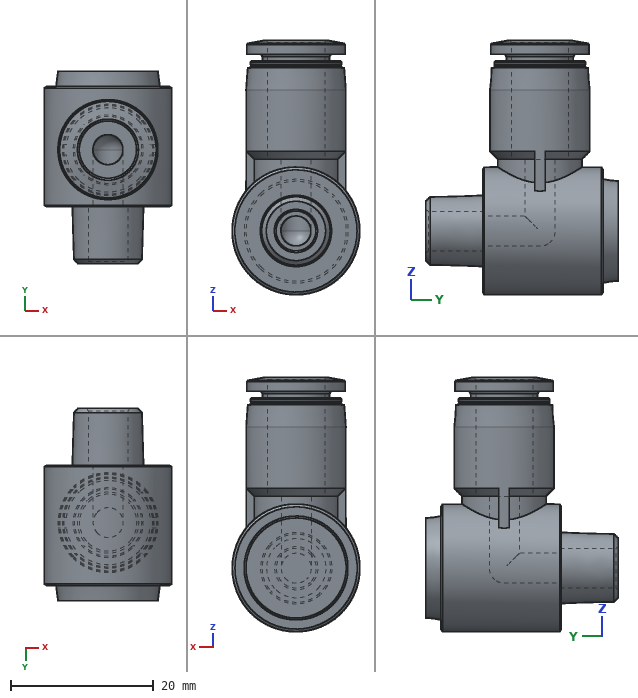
import cadquery as cq


body_radius = 17.9 / 2
body_front_y = -8.0
body_back_y = 8.85
body_edge_radial = 0.4
body_edge_axial = 0.25

stud_root_radius = 5.0
stud_taper_end_radius = 4.78
stud_end_radius = 4.15
stud_end_y = -16.0
stud_chamfer_length = 0.65

boss_root_radius = 7.28
boss_end_radius = 7.0
boss_end_y = 11.0

socket_radius = 14.0 / 2
socket_chamfer = 1.1
socket_neck_radius = socket_radius - socket_chamfer
socket_neck_top_z = 10.05
socket_taper_start_z = 19.75
socket_top_z = 22.8
socket_top_radius = 6.77

ring_radius = 12.8 / 2
ring_top_z = 23.8
ring_edge = 0.2
ring_groove_bottom_z = 23.0
ring_groove_top_z = 23.3
ring_groove_depth = 0.1

button_radius = 13.8 / 2
button_neck_radius = 9.4 / 2
button_bottom_z = 24.7
button_flare_radial = 0.2
button_flare_height = 0.35
button_rim_z = 26.05
button_crown_z = 26.25
button_crown_radius = 6.75
button_top_z = 35.65 - body_radius

rib_thickness = 1.5

passage_radius = 4.2 / 2
tube_bore_radius = 8.0 / 2
tube_bore_mouth_chamfer = 0.28
tube_bore_floor_z = socket_neck_top_z
stud_bore_radius = 5.56 / 2
stud_bore_mouth_radial = 0.25
stud_bore_mouth_depth = 0.4
stud_bore_floor_y = body_front_y


def revolve_about_z(profile):
    """Revolve (radius, z) points, starting and ending on the axis, about Z."""
    return cq.Workplane("XZ").polyline(profile).close().revolve(360, (0, 0), (0, 1))


def revolve_about_y(profile):
    """Revolve (radius, y) points, starting and ending on the axis, about Y."""
    return cq.Workplane("XY").polyline(profile).close().revolve(360, (0, 0), (0, 1))


def make_barrel():
    edge_radius = body_radius - body_edge_radial
    return revolve_about_y([
        (0, stud_end_y),
        (stud_end_radius, stud_end_y),
        (stud_taper_end_radius, stud_end_y + stud_chamfer_length),
        (stud_root_radius, body_front_y),
        (edge_radius, body_front_y),
        (body_radius, body_front_y + body_edge_axial),
        (body_radius, body_back_y - body_edge_axial),
        (edge_radius, body_back_y),
        (boss_root_radius, body_back_y),
        (boss_end_radius, boss_end_y),
        (0, boss_end_y),
    ])


def make_socket():
    groove_middle_z = (ring_groove_bottom_z + ring_groove_top_z) / 2
    return revolve_about_z([
        (0, 0),
        (socket_neck_radius, 0),
        (socket_neck_radius, socket_neck_top_z),
        (socket_radius, socket_neck_top_z + socket_chamfer),
        (socket_radius, socket_taper_start_z),
        (socket_top_radius, socket_top_z),
        (ring_radius, socket_top_z),
        (ring_radius, ring_groove_bottom_z),
        (ring_radius - ring_groove_depth, groove_middle_z),
        (ring_radius, ring_groove_top_z),
        (ring_radius, ring_top_z - ring_edge),
        (ring_radius - ring_edge, ring_top_z),
        (0, ring_top_z),
    ])


def make_button():
    mouth_radius = tube_bore_radius + tube_bore_mouth_chamfer
    return revolve_about_z([
        (0, socket_top_z),
        (button_neck_radius, socket_top_z),
        (button_neck_radius, button_bottom_z - button_flare_height),
        (button_neck_radius + button_flare_radial, button_bottom_z),
        (button_radius, button_bottom_z),
        (button_radius, button_rim_z),
        (button_crown_radius, button_crown_z),
        (mouth_radius, button_top_z),
        (0, button_top_z),
    ])


def make_ribs():
    """A plate across the socket axis, its outer faces flush with the round socket wall."""
    top_z = socket_neck_top_z + socket_chamfer
    plate = cq.Workplane("XY").box(
        2 * socket_radius, rib_thickness, top_z, centered=(True, True, False)
    )
    socket_envelope = cq.Workplane("XY").circle(socket_radius).extrude(top_z)
    return plate.intersect(socket_envelope)


def make_tube_bore():
    return revolve_about_z([
        (0, 0),
        (passage_radius, 0),
        (passage_radius, tube_bore_floor_z),
        (tube_bore_radius, tube_bore_floor_z),
        (tube_bore_radius, button_top_z - tube_bore_mouth_chamfer),
        (tube_bore_radius + tube_bore_mouth_chamfer, button_top_z),
        (0, button_top_z),
    ])


def make_stud_bore():
    return revolve_about_y([
        (0, 0),
        (passage_radius, 0),
        (passage_radius, stud_bore_floor_y),
        (stud_bore_radius, stud_bore_floor_y),
        (stud_bore_radius, stud_end_y + stud_bore_mouth_depth),
        (stud_bore_radius + stud_bore_mouth_radial, stud_end_y),
        (0, stud_end_y),
    ])


solid = make_barrel().union(make_socket()).union(make_ribs()).union(make_button())

elbow = cq.Workplane("XY").sphere(passage_radius)
result = solid.cut(make_tube_bore()).cut(make_stud_bore()).cut(elbow)